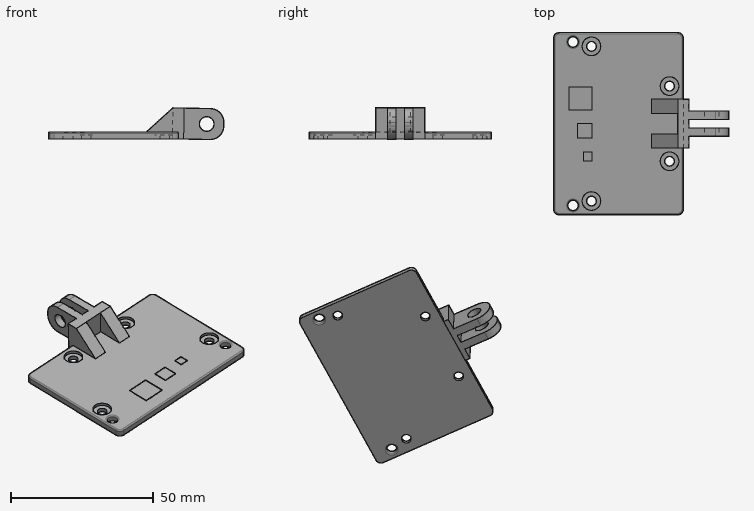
import cadquery as cq
import math

plate_length_x = 45.7
plate_width_y = 64.2
plate_thickness = 2.55
corner_radius = 2.0
top_edge_round = 0.5

screw_hole_diameter = 3.35
counterbore_diameter = 6.55
counterbore_depth = 1.0
screw_positions = [(13.35, 27.2), (40.8, 13.2)]

plain_hole_diameter = 3.6
plain_hole_rim_round = 0.45
plain_hole_position = (6.85, 28.75)

window_right_x = 13.6
window_depth = 0.2
windows = [(8.1, 8.9), (5.15, -2.45), (3.1, -11.55)]

bracket_tilt = 1.1
bracket_width = 17.25
bracket_height = 11.0
block_front_x = 43.8
block_back_x = 47.75
rib_foot_x = 32.15
rib_width = 5.1

part_length_x = 61.75
ear_thickness = 3.0
ear_gap = 2.95
ear_tip_radius = 4.9
pin_hole_diameter = 5.1
pin_x = 55.8

ear_tip_x = part_length_x + ear_tip_radius * math.sin(math.radians(bracket_tilt))


def make_plate():
    plate = cq.Workplane("XY").box(
        plate_length_x, plate_width_y, plate_thickness, centered=(False, True, False)
    )
    plate = plate.edges("|Z").fillet(corner_radius)
    return plate.faces(">Z").edges().fillet(top_edge_round)


def mirrored(x, y):
    return [(x, y), (x, -y)]


def cut_screw_holes(plate):
    top = cq.Workplane("XY", origin=(0, 0, plate_thickness))
    for x, y in screw_positions:
        points = top.pushPoints(mirrored(x, y))
        plate = plate.cut(points.circle(screw_hole_diameter / 2).extrude(-plate_thickness))
        plate = plate.cut(points.circle(counterbore_diameter / 2).extrude(-counterbore_depth))
    return plate


def cut_plain_holes(plate):
    hole_radius = plain_hole_diameter / 2
    rim_radius = hole_radius + plain_hole_rim_round
    section = (
        cq.Workplane("XZ")
        .lineTo(rim_radius, 0)
        .radiusArc((hole_radius, plain_hole_rim_round), plain_hole_rim_round)
        .lineTo(hole_radius, plate_thickness - plain_hole_rim_round)
        .radiusArc((rim_radius, plate_thickness), plain_hole_rim_round)
        .lineTo(0, plate_thickness)
        .close()
    )
    cutter = section.revolve(360, (0, 0), (0, 1))
    for x, y in mirrored(*plain_hole_position):
        plate = plate.cut(cutter.translate((x, y, 0)))
    return plate


def cut_windows(plate):
    for side, y in windows:
        window = (
            cq.Workplane("XY", origin=(window_right_x - side / 2, y, plate_thickness))
            .rect(side, side)
            .extrude(-window_depth)
        )
        plate = plate.cut(window)
    return plate


def side_profile(points, width, y_centre=0):
    """Extrude an outline in the XZ plane to a width centred on y_centre."""
    outline = cq.Workplane("XZ", origin=(0, y_centre, 0)).polyline(points).close()
    return outline.extrude(width / 2, both=True)


def make_block():
    profile = [
        (block_front_x, 0),
        (block_back_x, 0),
        (block_back_x, bracket_height),
        (block_front_x, bracket_height),
    ]
    return side_profile(profile, bracket_width)


def make_rib(y_centre):
    profile = [
        (rib_foot_x, 0),
        (block_front_x, 0),
        (block_front_x, bracket_height),
    ]
    return side_profile(profile, rib_width, y_centre)


def make_ear(y_centre):
    profile = [
        (block_back_x, 0),
        (ear_tip_x, 0),
        (ear_tip_x, bracket_height),
        (block_back_x, bracket_height),
    ]
    ear = side_profile(profile, ear_thickness, y_centre)
    ear = ear.faces(">X").edges("|Y").fillet(ear_tip_radius)
    pin_hole = (
        cq.Workplane("XZ", origin=(pin_x, y_centre, bracket_height / 2))
        .circle(pin_hole_diameter / 2)
        .extrude(ear_thickness, both=True)
    )
    return ear.cut(pin_hole)


def make_bracket():
    rib_y = (bracket_width - rib_width) / 2
    ear_y = (ear_gap + ear_thickness) / 2
    bracket = make_block()
    for side in (-1, 1):
        bracket = bracket.union(make_rib(side * rib_y))
        bracket = bracket.union(make_ear(side * ear_y))
    tilt_axis_start = (block_back_x, 0, bracket_height)
    tilt_axis_end = (block_back_x, 1, bracket_height)
    return bracket.clean().rotate(tilt_axis_start, tilt_axis_end, bracket_tilt)


plate = make_plate()
plate = cut_screw_holes(plate)
plate = cut_plain_holes(plate)
plate = cut_windows(plate)
result = plate.union(make_bracket())